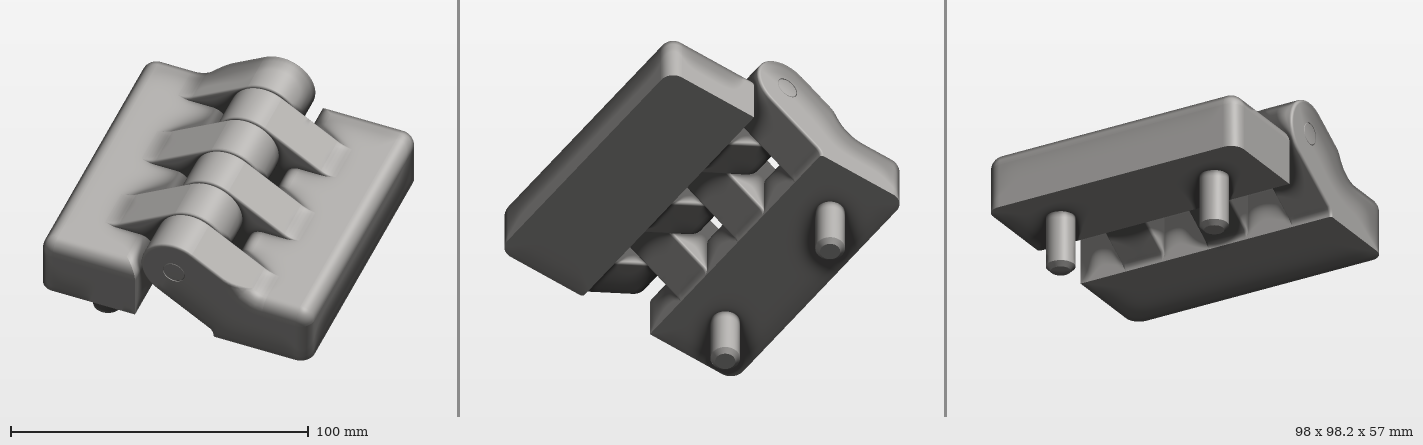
import cadquery as cq
import math


leaf_outer_x = 49.0
leaf_inner_x = 14.0
leaf_length = 98.0
leaf_shift = 0.1
leaf_height = 21.0
leaf_round = 5.0
leaf_width = leaf_outer_x - leaf_inner_x
leaf_centre_x = (leaf_outer_x + leaf_inner_x) / 2
leaf_end_y = leaf_shift - leaf_length / 2

knuckles_per_leaf = 3
knuckle_radius = 12.0
knuckle_width = -leaf_end_y / knuckles_per_leaf
axis_z = 25.0
arm_slope = math.radians(32.0)
arm_blend = 10.0
arm_underside_blend = 3.0
arm_edge_round = 1.0

pin_diameter = 8.0
pin_chamfer = 0.3

stud_diameter = 10.0
stud_length = 20.0
stud_chamfer = 1.6
stud_spacing = 60.0

slope_cos = math.cos(arm_slope)
slope_tan = math.tan(arm_slope)
edge_offset = knuckle_radius / slope_cos
blend_x = (axis_z + edge_offset - leaf_height) / slope_tan + arm_blend * math.tan(arm_slope / 2)
blend_z = leaf_height + arm_blend
underside_x = leaf_inner_x - arm_underside_blend
underside_z = axis_z - edge_offset - underside_x * slope_tan - arm_underside_blend / slope_cos


def arc_point(centre_x, centre_z, radius, angle):
    """Point on a circle, with the angle measured from +X towards +Z."""
    return (centre_x + radius * math.cos(angle), centre_z + radius * math.sin(angle))


def make_plate():
    """Leaf plate with rounded top edges and rounded outer corners."""
    plate = (
        cq.Workplane("XY")
        .box(leaf_width, leaf_length, leaf_height, centered=(True, True, False))
        .translate((leaf_centre_x, leaf_shift, 0))
        .edges("|Z and >X")
        .fillet(leaf_round)
        .faces(">Z")
        .edges()
        .fillet(leaf_round)
    )
    corner = (
        cq.Workplane("XY")
        .box(arm_edge_round, arm_edge_round, leaf_height, centered=False)
        .translate((leaf_inner_x, leaf_end_y, 0))
    )
    return plate.cut(corner)


def make_arm_body(start_y):
    """Sharp-edged arm: a knuckle on a sloping web that blends into the leaf."""
    normal = math.pi / 2 - arm_slope
    below = normal + math.pi
    profile = (
        cq.Workplane("XZ", origin=(0, start_y, 0))
        .moveTo(leaf_inner_x, 0)
        .lineTo(blend_x, 0)
        .lineTo(blend_x, leaf_height)
        .threePointArc(
            arc_point(blend_x, blend_z, arm_blend, -math.pi / 2 - arm_slope / 2),
            arc_point(blend_x, blend_z, arm_blend, below),
        )
        .lineTo(*arc_point(0, axis_z, knuckle_radius, normal))
        .threePointArc(
            arc_point(0, axis_z, knuckle_radius, normal + math.pi / 2),
            arc_point(0, axis_z, knuckle_radius, below),
        )
        .lineTo(*arc_point(underside_x, underside_z, arm_underside_blend, normal))
        .threePointArc(
            arc_point(underside_x, underside_z, arm_underside_blend, normal / 2),
            (leaf_inner_x, underside_z),
        )
        .close()
    )
    return profile.extrude(-knuckle_width)


def make_end_round_cutter():
    """Carries the leaf's top end round up along the concave blend of the end arm."""
    outer_radius = arm_blend + leaf_round
    corner = (
        cq.Workplane("XY")
        .moveTo(-arm_blend, 0)
        .lineTo(-outer_radius, 0)
        .radiusArc((-arm_blend, leaf_round), -leaf_round)
        .close()
    )
    quarter_turn = 90
    return corner.revolve(quarter_turn, (0, 0), (0, -1)).translate((blend_x, leaf_end_y, blend_z))


def round_arm_edges(arm):
    """Rounds the side edges of an arm, except those hidden in the plate or lying on its end."""
    plate_zone = cq.selectors.BoxSelector(
        (leaf_inner_x + arm_edge_round, -leaf_length, -leaf_height),
        (leaf_outer_x, leaf_length, leaf_height),
    )
    side_edges = arm.faces("<Y or >Y").edges(cq.selectors.InverseSelector(plate_zone))
    return side_edges.add(arm.edges("%BSPLINE")).fillet(arm_edge_round)


def make_leaf():
    """Plate with its arms; the first arm is flush with the plate end and shares its end round."""
    end_arm = make_arm_body(leaf_end_y).cut(make_end_round_cutter())
    leaf = make_plate().union(round_arm_edges(end_arm))
    for index in range(1, knuckles_per_leaf):
        leaf = leaf.union(round_arm_edges(make_arm_body(leaf_end_y + 2 * index * knuckle_width)))
    return leaf


def make_studs():
    """Chamfered studs that hang below the -X leaf."""
    stud = (
        cq.Workplane("XY")
        .circle(stud_diameter / 2)
        .extrude(-stud_length)
        .faces("<Z")
        .chamfer(stud_chamfer)
    )
    studs = cq.Workplane("XY")
    for side in (-1, 1):
        studs = studs.add(stud.translate((-leaf_centre_x, side * stud_spacing / 2 - leaf_shift, 0)))
    return studs.combine()


def make_pin_groove():
    """V-shaped ring that the chamfer of the hinge pin leaves open in a leaf's end face."""
    mouth = (
        cq.Workplane("XZ", origin=(0, leaf_end_y, axis_z))
        .circle(pin_diameter / 2)
        .extrude(-2 * pin_chamfer)
    )
    pin_end = mouth.faces("<Y").chamfer(pin_chamfer)
    return mouth.cut(pin_end)


right_leaf = make_leaf().cut(make_pin_groove())
left_leaf = right_leaf.rotate((0, 0, 0), (0, 0, 1), 180).union(make_studs())
result = right_leaf.union(left_leaf)